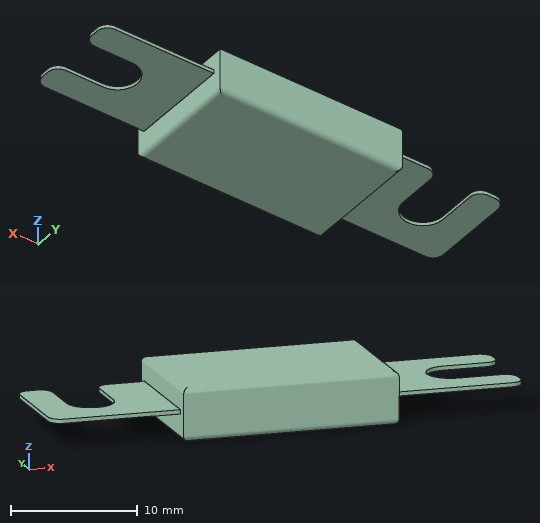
import cadquery as cq

body_length = 17.93
body_width = 11.0
body_height = 4.35
edge_radius = 0.47

blade_length = 39.32
blade_width = 9.35
blade_thickness = 0.35
blade_offset = 0.1
corner_radius = 1.02

slot_width = 3.85
slot_radius = slot_width / 2
side_slot_x = -15.0
slot_depth = 6.6


def slot_cutter():
    """Slot along Y with its round end at y = -slot_depth, open past y = 0."""
    overrun = slot_width
    centre_y = slot_radius - slot_depth
    return (
        cq.Workplane("XY")
        .moveTo(-slot_radius, overrun)
        .lineTo(-slot_radius, centre_y)
        .threePointArc((0, -slot_depth), (slot_radius, centre_y))
        .lineTo(slot_radius, overrun)
        .close()
        .extrude(blade_thickness, both=True)
    )


def make_body():
    """Block with every horizontal edge rounded and upright corners left sharp."""
    block = cq.Workplane("XY").box(body_length, body_width, body_height)
    return block.faces("|Z").edges().fillet(edge_radius)


def make_blade():
    """Flat strip with one side slot, one end slot and rounded corners."""
    side_slot = slot_cutter().translate((side_slot_x, blade_width / 2, 0))
    end_slot = (
        slot_cutter()
        .rotate((0, 0, 0), (0, 0, 1), -90)
        .translate((blade_length / 2, 0, 0))
    )
    strip = cq.Workplane("XY").box(blade_length, blade_width, blade_thickness)
    slotted = strip.cut(side_slot).cut(end_slot)

    end_corners = slotted.faces("<X or >X").edges("|Z")
    side_corners = slotted.faces(">Y").edges("|Z")
    corners = end_corners.add(side_corners)
    return corners.fillet(corner_radius).translate((0, 0, blade_offset))


result = make_body().union(make_blade())